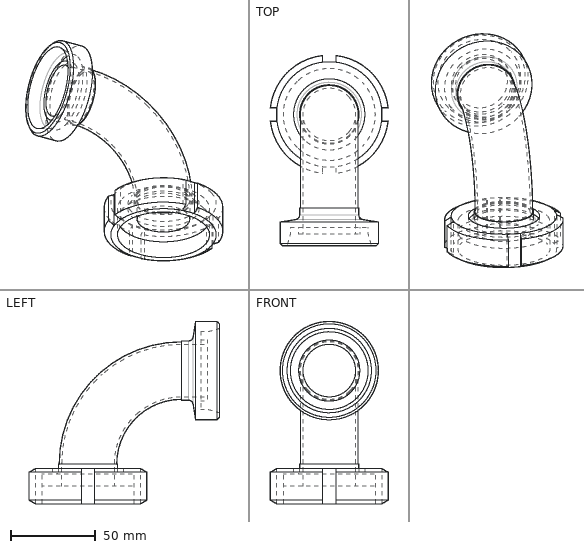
import cadquery as cq
import math

bend_radius = 55.0
tube_outer_radius = 34.0 / 2
bore_radius = 31.0 / 2

neck_radius = 35.0 / 2

nut_radius = 34.97
nut_height = 21.0
nut_hole_radius = 42.0 / 2
nut_bore_radius = 54.2 / 2
nut_web = 3.4
nut_chamfer_height = 2.2
nut_chamfer_angle = 30.0
slot_count = 4
slot_width = 7.9
slot_floor_radius = 31.0

shoulder_z = nut_height - nut_web
liner_top_z = 23.6
collar_thickness = 7.0
liner_fillet = 1.5

male_radius = 58.0 / 2
male_length = 22.5
male_chamfer = 1.5
male_rim_depth = 14.1
male_back_angle = 9.0
male_fillet = 2.6
seat_mouth_radius = 49.7 / 2
seat_inner_radius = 45.8 / 2
seat_cone_depth = 7.1
seat_floor_depth = 11.0
spigot_radius = 36.0 / 2
male_axis_z = liner_top_z + bend_radius
male_face_y = -(bend_radius + male_length)


def revolve_z(points):
    """Revolve a closed (radius, height) outline about the Z axis."""
    return cq.Workplane("XZ").polyline(points).close().revolve(360, (0, 0, 0), (0, 1, 0))


def fillet_circle(body, radius, height, fillet):
    """Round the circular edge around the Z axis at the given radius and height."""
    tolerance = 0.01
    corner = radius + tolerance
    box = cq.selectors.BoxSelector(
        (-corner, -corner, height - tolerance),
        (corner, corner, height + tolerance),
        boundingbox=True,
    )
    return body.edges(box).edges(cq.selectors.RadiusNthSelector(-1)).fillet(fillet)


def make_elbow():
    return (
        cq.Workplane("XY", origin=(0, 0, liner_top_z))
        .circle(tube_outer_radius)
        .circle(bore_radius)
        .revolve(90, (0, -bend_radius, 0), (1, -bend_radius, 0))
    )


def make_nut():
    chamfer_run = nut_chamfer_height / math.tan(math.radians(nut_chamfer_angle))
    end_radius = nut_radius - chamfer_run
    nut = revolve_z([
        (nut_bore_radius, 0),
        (end_radius, 0),
        (nut_radius, nut_chamfer_height),
        (nut_radius, nut_height - nut_chamfer_height),
        (end_radius, nut_height),
        (nut_hole_radius, nut_height),
        (nut_hole_radius, shoulder_z),
        (nut_bore_radius, shoulder_z),
    ])
    slot = (
        cq.Workplane("XY", origin=(slot_floor_radius, 0, 0))
        .rect(nut_radius - slot_floor_radius, slot_width, centered=(False, True))
        .extrude(nut_height)
    )
    for index in range(slot_count):
        nut = nut.cut(slot.rotate((0, 0, 0), (0, 0, 1), index * 360 / slot_count))
    return nut


def make_liner():
    collar_bottom_z = shoulder_z - collar_thickness
    liner = revolve_z([
        (bore_radius, collar_bottom_z),
        (nut_bore_radius, collar_bottom_z),
        (nut_bore_radius, shoulder_z),
        (neck_radius, shoulder_z),
        (neck_radius, liner_top_z),
        (bore_radius, liner_top_z),
    ])
    return fillet_circle(liner, neck_radius, shoulder_z, liner_fillet)


def make_male_coupling():
    back_rise = (male_radius - neck_radius) * math.tan(math.radians(male_back_angle))
    neck_root_depth = male_rim_depth + back_rise
    coupling = revolve_z([
        (seat_mouth_radius, 0),
        (male_radius - male_chamfer, 0),
        (male_radius, male_chamfer),
        (male_radius, male_rim_depth),
        (neck_radius, neck_root_depth),
        (neck_radius, male_length),
        (bore_radius, male_length),
        (bore_radius, seat_cone_depth),
        (spigot_radius, seat_cone_depth),
        (spigot_radius, seat_floor_depth),
        (seat_inner_radius, seat_floor_depth),
        (seat_inner_radius, seat_cone_depth),
    ])
    coupling = fillet_circle(coupling, neck_radius, neck_root_depth, male_fillet)
    return coupling.rotate((0, 0, 0), (1, 0, 0), -90).translate((0, male_face_y, male_axis_z))


elbow = make_elbow()
nut = make_nut()
liner = make_liner()
male_coupling = make_male_coupling()

result = cq.Compound.makeCompound([elbow.val(), nut.val(), liner.val(), male_coupling.val()])